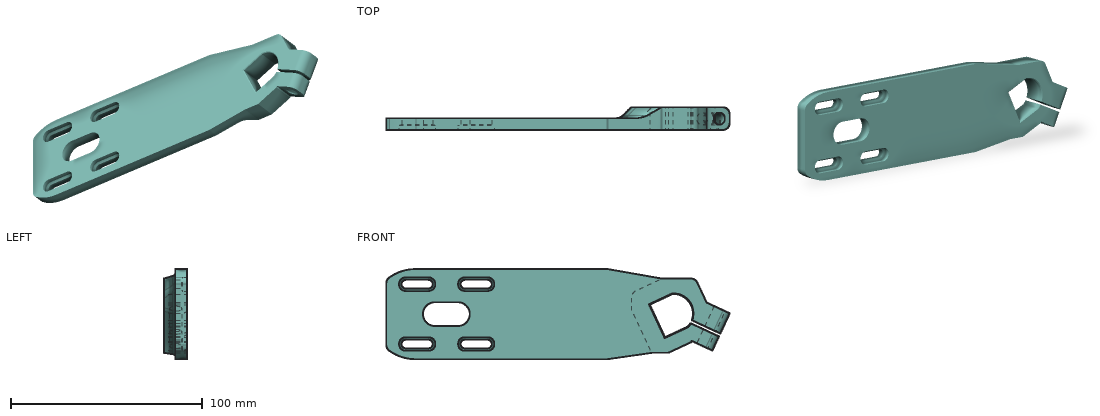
import cadquery as cq
import math

PLATE_WIDTH = 47.2
PLATE_THICKNESS = 6.25
HEAD_THICKNESS = 12.0

REAR_ARC_CENTRE_X = 15.4
REAR_CORNER_RADIUS = 4.0

TAPER_START_X = 115.2
TOP_TAPER_END_X = 143.4
BOTTOM_TAPER_END_X = 138.5
HEAD_TOP_Z = 18.65
TAPER_BLEND_RADIUS = 3.0
HEAD_BOTTOM_Z = -20.25
HEAD_CORNER_RADIUS = 4.0

TILT = 25.0
SOCKET_X = 149.8
SOCKET_Z = 0.35
SOCKET_BORE_RADIUS = 10.1
SOCKET_WIDTH = 18.7
SOCKET_DEPTH = 9.2
SOCKET_CHAMFER = 0.4
OVERALL_LENGTH = 179.21
LUG_TOP = 12.5
LUG_BOTTOM = -9.0
LUG_TOP_ROOT = 13.3
LUG_BOTTOM_ROOT = 14.7
LUG_BOTTOM_STEP = 0.75
LUG_END_RADIUS = 4.0
CLAMP_GAP = 1.6
CLAMP_HOLE_DIAMETER = 6.3
CLAMP_HOLE_SETBACK = 6.0

RAMP_FRONT_X = 127.8
RAMP_UPPER_Z = 11.2
RAMP_LOWER_Z = 2.4
RAMP_ANGLE = 45.0
RAMP_BLEND_RADIUS = 6.0
RAMP_FOOT_RADIUS = 5.0

SLOT_CENTRES_X = (16.15, 46.95)
SLOT_CENTRE_Z = 15.6
SLOT_RECESS_LENGTH = 19.0
SLOT_RECESS_WIDTH = 7.2
SLOT_WIDTH = 4.4
SLOT_RECESS_DEPTH = 2.5
SLOT_SEAT_ANGLE = 20.0
OPENING_X = 31.4
OPENING_LENGTH = 24.3
OPENING_WIDTH = 12.3

BLANK_SIZE = 400.0
BLANK_MARGIN = 20.0
EDGE_REACH = 0.1

BLANK_X_MIN = -BLANK_MARGIN
BLANK_X_MAX = OVERALL_LENGTH + BLANK_MARGIN
SLOT_SEAT_WIDTH = (SLOT_RECESS_WIDTH - SLOT_WIDTH) / 2
SLOT_LENGTH = SLOT_RECESS_LENGTH - 2 * SLOT_SEAT_WIDTH
SLOT_SEAT_DEPTH = SLOT_SEAT_WIDTH * math.tan(math.radians(SLOT_SEAT_ANGLE))
MID_RAMP_Y = (PLATE_THICKNESS + HEAD_THICKNESS) / 2
HALF_WIDTH = PLATE_WIDTH / 2
TILT_COS = math.cos(math.radians(TILT))
TILT_SIN = math.sin(math.radians(TILT))
TILT_TAN = math.tan(math.radians(TILT))
LUG_END = (OVERALL_LENGTH - SOCKET_X - LUG_TOP * TILT_SIN) / TILT_COS


def lug_point(along, across):
    """XZ position measured along and across the clamp lugs from the bore centre."""
    x = SOCKET_X + along * TILT_COS + across * TILT_SIN
    z = SOCKET_Z - along * TILT_SIN + across * TILT_COS
    return x, z


def slab(thickness):
    """Oversize plate around the whole part, from Y = 0 to the thickness."""
    size = (BLANK_X_MAX - BLANK_X_MIN, thickness, 2 * PLATE_WIDTH)
    block = cq.Workplane("XY").box(*size, centered=(False, False, True))
    return block.translate((BLANK_X_MIN, 0, 0))


def edge_selector(x, z):
    """Box around the straight Y-direction edge that crosses the outline at (x, z)."""
    return cq.selectors.BoxSelector((x - EDGE_REACH, 0, z - EDGE_REACH),
                                    (x + EDGE_REACH, HEAD_THICKNESS, z + EDGE_REACH))


def make_outline():
    """Full-thickness prism of the part's outline, with its rounded corners."""
    top_root = lug_point(LUG_TOP_ROOT, LUG_TOP)
    bottom_root = lug_point(LUG_BOTTOM_ROOT, LUG_BOTTOM)
    head_corner = (top_root[0] - (HEAD_TOP_Z - top_root[1]) * TILT_TAN, HEAD_TOP_Z)
    step_foot = lug_point(LUG_BOTTOM_ROOT, LUG_BOTTOM - LUG_BOTTOM_STEP)
    chin = (step_foot[0] - (step_foot[1] - HEAD_BOTTOM_Z) / TILT_TAN, HEAD_BOTTOM_Z)
    rear_z = math.sqrt(HALF_WIDTH ** 2 - REAR_ARC_CENTRE_X ** 2)
    arc_mid_angle = (math.pi / 2 + math.atan2(rear_z, -REAR_ARC_CENTRE_X)) / 2
    arc_mid_x = REAR_ARC_CENTRE_X + HALF_WIDTH * math.cos(arc_mid_angle)
    arc_mid_z = HALF_WIDTH * math.sin(arc_mid_angle)

    outline = (
        cq.Workplane("XZ")
        .moveTo(0, rear_z)
        .threePointArc((arc_mid_x, arc_mid_z), (REAR_ARC_CENTRE_X, HALF_WIDTH))
        .lineTo(TAPER_START_X, HALF_WIDTH)
        .lineTo(TOP_TAPER_END_X, HEAD_TOP_Z)
        .lineTo(*head_corner)
        .lineTo(*top_root)
        .lineTo(*lug_point(LUG_END, LUG_TOP))
        .lineTo(*lug_point(LUG_END, LUG_BOTTOM))
        .lineTo(*bottom_root)
        .lineTo(*step_foot)
        .lineTo(*chin)
        .lineTo(BOTTOM_TAPER_END_X, HEAD_BOTTOM_Z)
        .lineTo(TAPER_START_X, -HALF_WIDTH)
        .lineTo(REAR_ARC_CENTRE_X, -HALF_WIDTH)
        .threePointArc((arc_mid_x, -arc_mid_z), (0, -rear_z))
        .close()
    )
    body = outline.extrude(-HEAD_THICKNESS)
    rounded_corners = (
        (0, rear_z, REAR_CORNER_RADIUS),
        (0, -rear_z, REAR_CORNER_RADIUS),
        (TAPER_START_X, HALF_WIDTH, TAPER_BLEND_RADIUS),
        (TAPER_START_X, -HALF_WIDTH, TAPER_BLEND_RADIUS),
        (TOP_TAPER_END_X, HEAD_TOP_Z, TAPER_BLEND_RADIUS),
        (*head_corner, HEAD_CORNER_RADIUS),
    )
    for x, z, radius in rounded_corners:
        body = body.edges(edge_selector(x, z)).fillet(radius)

    end_x, end_z = lug_point(LUG_END, (LUG_TOP + LUG_BOTTOM) / 2)
    for y in (0, HEAD_THICKNESS):
        end_edge = cq.selectors.NearestToPointSelector((end_x, y, end_z))
        body = body.edges(end_edge).fillet(LUG_END_RADIUS)
    return body


def ramp_wedge(x, z, facing):
    """Large block with one ramp, its top edge through (x, z); facing is its turn about Y from -X."""
    rise = HEAD_THICKNESS - PLATE_THICKNESS
    run = rise / math.tan(math.radians(RAMP_ANGLE))
    profile = (
        cq.Workplane("XY")
        .moveTo(-run, PLATE_THICKNESS)
        .lineTo(0, HEAD_THICKNESS)
        .lineTo(BLANK_SIZE, HEAD_THICKNESS)
        .lineTo(BLANK_SIZE, PLATE_THICKNESS)
        .close()
    )
    wedge = profile.extrude(BLANK_SIZE, both=True)
    return wedge.rotate((0, 0, 0), (0, 1, 0), facing).translate((x, 0, z))


def make_stepped_blank():
    """Oversize plate with the raised head and its three-sided blended ramp."""
    head = ramp_wedge(RAMP_FRONT_X, RAMP_UPPER_Z, 0)
    head = head.intersect(ramp_wedge(RAMP_FRONT_X, RAMP_UPPER_Z, 90 - TILT))
    head = head.intersect(ramp_wedge(RAMP_FRONT_X, RAMP_LOWER_Z, -TILT))
    for z in (RAMP_UPPER_Z, RAMP_LOWER_Z):
        ramp_corner = cq.selectors.NearestToPointSelector((RAMP_FRONT_X, MID_RAMP_Y, z))
        head = head.edges(ramp_corner).fillet(RAMP_BLEND_RADIUS)

    plate = slab(PLATE_THICKNESS)
    blank = plate.union(head.intersect(slab(HEAD_THICKNESS)))
    ramp_foot = cq.selectors.BoxSelector(
        (BLANK_X_MIN + EDGE_REACH, PLATE_THICKNESS - EDGE_REACH, EDGE_REACH - PLATE_WIDTH),
        (BLANK_X_MAX - EDGE_REACH, PLATE_THICKNESS + EDGE_REACH, PLATE_WIDTH - EDGE_REACH))
    return blank.edges(ramp_foot).fillet(RAMP_FOOT_RADIUS)


def slot_prism(x, z, length, width, depth):
    """Round-ended slot along X, cut from the front face to the given depth."""
    slot = cq.Workplane("XZ", origin=(x, 0, z)).slot2D(length, width)
    return slot.extrude(-depth)


def make_mounting_slot(x, z):
    """Through slot with a wider recess at the front that steps down at a sloping seat."""
    recess_depth = SLOT_RECESS_DEPTH + SLOT_SEAT_DEPTH
    recess = slot_prism(x, z, SLOT_RECESS_LENGTH, SLOT_RECESS_WIDTH, recess_depth)
    recess = recess.faces(">Y").chamfer(SLOT_SEAT_DEPTH, SLOT_SEAT_WIDTH)
    return recess.union(slot_prism(x, z, SLOT_LENGTH, SLOT_WIDTH, PLATE_THICKNESS))


def socket_profile(y, growth):
    """Closed outline of the square-backed round socket at depth y, enlarged all round by growth."""
    half = SOCKET_WIDTH / 2 + growth
    radius = SOCKET_BORE_RADIUS + growth
    back = -SOCKET_DEPTH - growth
    junction = math.sqrt(radius ** 2 - half ** 2)
    return (
        cq.Workplane("XZ", origin=(0, y, 0))
        .moveTo(back, -half)
        .lineTo(back, half)
        .lineTo(junction, half)
        .threePointArc((radius, 0), (junction, -half))
        .close()
    )


def make_socket():
    """Cutter for the socket through the head, with its front rim chamfered."""
    socket = socket_profile(0, 0).extrude(-HEAD_THICKNESS)
    rim_wires = [socket_profile(0, SOCKET_CHAMFER), socket_profile(SOCKET_CHAMFER, 0)]
    rim = cq.Solid.makeLoft([profile.wires().val() for profile in rim_wires], True)
    socket = socket.union(cq.Workplane(rim))
    return socket.rotate((0, 0, 0), (0, 1, 0), -TILT).translate((SOCKET_X, 0, SOCKET_Z))


def make_clamp_cuts():
    """Cutters for the gap between the lugs and the clamp screw hole across them."""
    gap = cq.Workplane("XY").box(BLANK_SIZE, HEAD_THICKNESS, CLAMP_GAP, centered=(False, False, True))
    hole = (
        cq.Workplane("XY", origin=(LUG_END - CLAMP_HOLE_SETBACK, HEAD_THICKNESS / 2, 0))
        .circle(CLAMP_HOLE_DIAMETER / 2)
        .extrude(LUG_TOP, both=True)
    )
    cuts = gap.union(hole)
    return cuts.rotate((0, 0, 0), (0, 1, 0), TILT).translate((SOCKET_X, 0, SOCKET_Z))


result = make_stepped_blank().intersect(make_outline())
for slot_x in SLOT_CENTRES_X:
    for slot_z in (SLOT_CENTRE_Z, -SLOT_CENTRE_Z):
        result = result.cut(make_mounting_slot(slot_x, slot_z))
result = result.cut(slot_prism(OPENING_X, 0, OPENING_LENGTH, OPENING_WIDTH, PLATE_THICKNESS))
result = result.cut(make_socket()).cut(make_clamp_cuts())